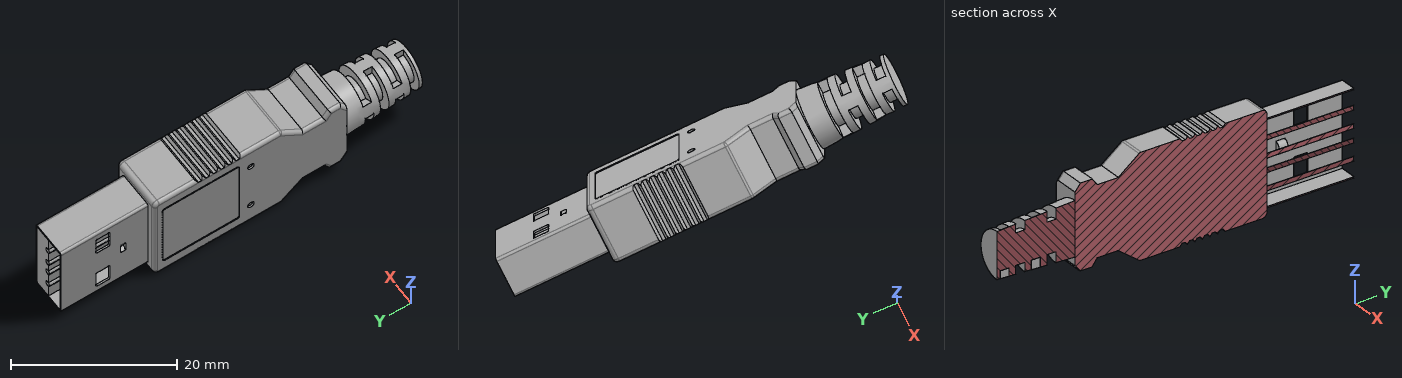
import cadquery as cq
import math


housing_width = 7.874
housing_height = 14.986
housing_length = 28.194
front_corner_radius = 0.762
side_edge_radius = 0.508
shoulder_y = 9.525
shoulder_radius = 0.508
neck_front_y = 6.35
neck_back_y = 3.302
neck_half_height = 5.08
collar_half_height = 6.096
collar_front_y = 2.54
collar_chamfer_y = 0.79

groove_count = 6
groove_pitch = 1.106
groove_slope_length = 0.33
groove_depth = 0.4
grip_front_gap = 6.15

label_length = 11.24
label_height = 10.92
label_corner_radius = 0.381
label_depth = 0.127
label_front_gap = 1.27
dimple_diameter = 0.94
dimple_depth = 0.254
dimple_y = 14.05
dimple_z = 4.08

relief_length = 11.43
relief_base_radius = housing_width / 2
relief_tip_radius = 3.35
relief_core_radius = 2.286
slot_count = 4
slot_width = 1.27
slot_pitch = 2.286
first_slot_gap = 2.794
slot_sweep = 150
slot_turn = 90

shell_length = 12.7
shell_width = 5.334
shell_height = 12.446
shell_wall = 0.254
shell_corner_radius = 0.33
window_length = 2.04
window_height = 2.84
window_corner_radius = 0.2
window_tip_gap = 5.08
window_z = 3.55
dent_length = 0.79
dent_radius = 0.71
dent_corner_radius = 0.15
dent_tip_gap = 9.1

cavity_depth = 2.7
contact_diameter = 0.8
contact_rise = 0.25
contact_positions_z = (-3.53, -1.0, 1.0, 3.53)

side_x = -housing_width / 2
housing_top = housing_height / 2
shell_tip_y = housing_length + shell_length
shell_side_x = -shell_width / 2
insulator_face_x = shell_side_x + cavity_depth
contact_x = insulator_face_x - contact_rise + contact_diameter / 2


def y_rod(radius, y_start, length, x, z):
    """Round bar along +Y."""
    start = cq.Vector(x, y_start, z)
    return cq.Workplane(cq.Solid.makeCylinder(radius, length, start, cq.Vector(0, 1, 0)))


def y_box(width, length, height, y_start, x=0.0):
    """Box centred on x and z = 0 that starts at y_start and runs along +Y."""
    box = cq.Workplane().box(width, length, height, centered=(True, False, True))
    return box.translate((x, y_start, 0))


def housing_blank():
    upper_half = [
        (0, neck_half_height),
        (collar_chamfer_y, collar_half_height),
        (collar_front_y, collar_half_height),
        (neck_back_y, neck_half_height),
        (neck_front_y, neck_half_height),
        (shoulder_y, housing_top),
        (housing_length, housing_top),
    ]
    lower_half = [(y, -z) for y, z in reversed(upper_half)]
    blank = (
        cq.Workplane("YZ")
        .polyline(upper_half + lower_half)
        .close()
        .extrude(housing_width / 2, both=True)
    )
    blank = blank.faces(">Y").edges("|X").fillet(front_corner_radius)
    reach = shoulder_radius / 4
    for z in (-housing_top, housing_top):
        corner = cq.selectors.BoxSelector(
            (-housing_width, shoulder_y - reach, z - reach),
            (housing_width, shoulder_y + reach, z + reach),
        )
        blank = blank.edges(corner).fillet(shoulder_radius)
    for side in ("<X", ">X"):
        blank = blank.faces(side).edges("not <Y").fillet(side_edge_radius)
    return blank


def grip_grooves():
    """Flat-bottomed grooves with sloped walls; neighbours share an edge, which leaves sharp ridges."""
    grooves = cq.Workplane()
    floor_z = housing_top - groove_depth
    for i in range(groove_count):
        front = housing_length - grip_front_gap - i * groove_pitch
        back = front - groove_pitch
        for side in (-1, 1):
            outline = [
                (front, side * housing_top),
                (front - groove_slope_length, side * floor_z),
                (back + groove_slope_length, side * floor_z),
                (back, side * housing_top),
            ]
            start = cq.Workplane("YZ", origin=(side_x, 0, 0))
            groove = start.polyline(outline).close().extrude(housing_width)
            grooves.add(groove.val())
    return grooves


def label_recess():
    center_y = housing_length - label_front_gap - label_length / 2
    return (
        cq.Workplane("YZ", origin=(side_x, center_y, 0))
        .rect(label_length, label_height)
        .extrude(label_depth)
        .edges("|X")
        .fillet(label_corner_radius)
    )


def side_dimples():
    return (
        cq.Workplane("YZ", origin=(side_x, dimple_y, 0))
        .pushPoints([(0, -dimple_z), (0, dimple_z)])
        .circle(dimple_diameter / 2)
        .extrude(dimple_depth)
    )


def make_housing():
    housing = housing_blank().cut(label_recess()).cut(side_dimples())
    for groove in grip_grooves().vals():
        housing = housing.cut(cq.Workplane(groove))
    return housing


def slot_sector(start_angle, y_front):
    """Ring sector outside the core; the angle runs from +X towards +Z."""
    reach = 1.5 * relief_base_radius
    sector_angles = [math.radians(start_angle + slot_sweep * t) for t in (0, 0.5, 1)]
    inner = [(relief_core_radius * math.cos(a), relief_core_radius * math.sin(a)) for a in sector_angles]
    outer = [(reach * math.cos(a), reach * math.sin(a)) for a in sector_angles]
    return (
        cq.Workplane("XZ", origin=(0, y_front, 0))
        .moveTo(*inner[0])
        .lineTo(*outer[0])
        .threePointArc(outer[1], outer[2])
        .lineTo(*inner[2])
        .threePointArc(inner[1], inner[0])
        .close()
        .extrude(slot_width)
    )


def make_strain_relief():
    half_profile = [(0, 0), (0, relief_base_radius), (-relief_length, relief_tip_radius), (-relief_length, 0)]
    relief = cq.Workplane("YZ").polyline(half_profile).close().revolve(360, (0, 0, 0), (1, 0, 0))
    for i in range(slot_count):
        y_front = -(first_slot_gap + i * slot_pitch)
        for opposite in (0, 180):
            relief = relief.cut(slot_sector(i % 2 * slot_turn + opposite, y_front))
    return relief


def make_shell():
    shell = y_box(shell_width, shell_length, shell_height, housing_length)
    shell = shell.edges("|Y").fillet(shell_corner_radius)
    inside_width = shell_width - 2 * shell_wall
    inside_height = shell_height - 2 * shell_wall
    inside = y_box(inside_width, shell_length, inside_height, housing_length)
    windows = (
        cq.Workplane("YZ", origin=(shell_side_x, shell_tip_y - window_tip_gap - window_length / 2, 0))
        .pushPoints([(0, -window_z), (0, window_z)])
        .rect(window_length, window_height)
        .extrude(shell_wall)
        .edges("|X")
        .fillet(window_corner_radius)
    )
    dent_y = shell_tip_y - dent_tip_gap - dent_length / 2
    dent_opening = (
        y_box(2 * dent_radius, dent_length, 2 * dent_radius, dent_y, shell_side_x)
        .edges("|X")
        .fillet(dent_corner_radius)
    )
    dent = y_rod(dent_radius, dent_y, dent_length, shell_side_x, 0).intersect(dent_opening)
    dent_back = y_rod(
        dent_radius + shell_wall, dent_y - shell_wall, dent_length + 2 * shell_wall, shell_side_x, 0
    ).intersect(inside)
    return shell.cut(inside).cut(windows).union(dent_back).cut(dent)


def make_contacts():
    """Round bars embedded in the insulator, with only a shallow crown standing out of its face."""
    rods = cq.Workplane()
    for z in contact_positions_z:
        rods.add(y_rod(contact_diameter / 2, housing_length, shell_length, contact_x, z).val())
    return rods


def make_insulator(contacts):
    thickness = shell_width - shell_wall - cavity_depth
    height = shell_height - 2 * shell_wall
    center_x = insulator_face_x + thickness / 2
    insulator = y_box(thickness, shell_length, height, housing_length, center_x)
    for contact in contacts.vals():
        insulator = insulator.cut(cq.Workplane(contact))
    return insulator


housing = make_housing()
strain_relief = make_strain_relief()
shell = make_shell()
contacts = make_contacts()
insulator = make_insulator(contacts)

result = cq.Compound.makeCompound(
    [housing.val(), strain_relief.val(), shell.val(), insulator.val(), *contacts.vals()]
)